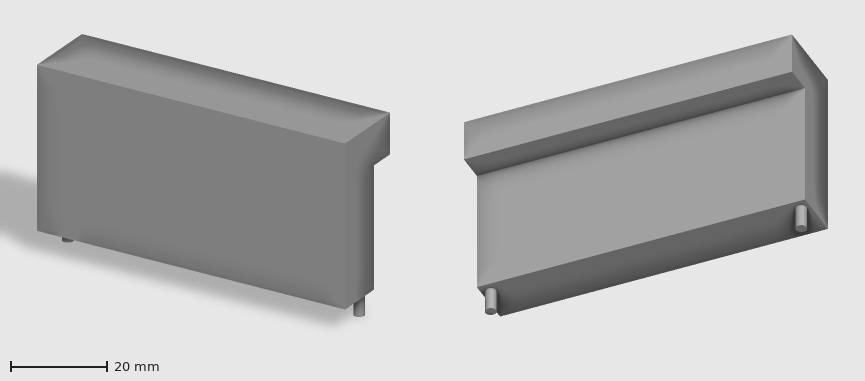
import cadquery as cq

length = 75.0
depth = 18.0
height = 37.95

ledge_height = 9.5
wall_depth = 11.55

pin_diameter = 2.5
pin_length = 5.2
pin_spacing = 70.95
pin_y = depth / 2


def make_housing():
    """L-shaped profile extruded along X, front face at Y = 0, underside at Z = 0."""
    ledge_underside = height - ledge_height
    profile = [
        (0, 0),
        (wall_depth, 0),
        (wall_depth, ledge_underside),
        (depth, ledge_underside),
        (depth, height),
        (0, height),
    ]
    return cq.Workplane("YZ").polyline(profile).close().extrude(length / 2, both=True)


def make_pin(x):
    """Pin hanging from the underside of the housing."""
    return cq.Workplane("XY").center(x, pin_y).circle(pin_diameter / 2).extrude(-pin_length)


housing = make_housing()
pins = [make_pin(side * pin_spacing / 2) for side in (-1, 1)]

result = cq.Compound.makeCompound([housing.val(), *[pin.val() for pin in pins]])